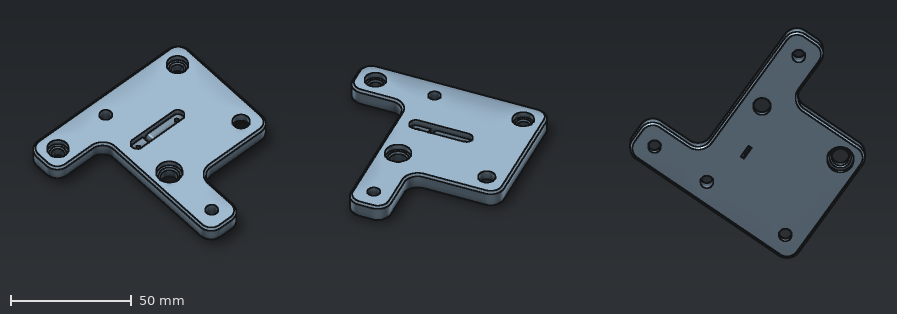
import cadquery as cq
import math

overall_size = 84.17
thickness = 8.0
hole_inset = 9.0
corner_radius = 6.0
edge_chamfer = 1.0

small_hole_diameter = 5.3
large_hole_diameter = 7.24
small_counterbore_diameter = 9.0
large_counterbore_diameter = 11.0
counterbore_depth = 2.8
seat_chamfer = 0.8

slot_length = 28.0
slot_width = 5.5
slot_depth = 3.0
slot_offset_y = 11.05
pin_hole_diameter = 1.8
pin_hole_spacing = 21.3
pin_hole_depth = 3.0
window_length = 3.5
window_offset_y = 8.2
window_lip_radius = 2.0

block_units = 3
arm_units = 2
half_size = overall_size / 2
grid_unit = (overall_size - 2 * hole_inset) / (block_units + arm_units)
left_x = -half_size + hole_inset
block_x = left_x + block_units * grid_unit
arm_x = half_size - hole_inset
top_y = half_size - hole_inset
block_y = top_y - block_units * grid_unit
leg_y = -half_size + hole_inset

slot_x = (left_x + block_x) / 2
slot_y = block_y + slot_offset_y
slot_floor_z = thickness - slot_depth


def make_plate():
    """Square block with an arm towards +X and a leg towards -Y."""
    outline = [
        (-half_size, -half_size),
        (left_x + hole_inset, -half_size),
        (left_x + hole_inset, block_y - hole_inset),
        (half_size, block_y - hole_inset),
        (half_size, block_y + hole_inset),
        (block_x + hole_inset, block_y + hole_inset),
        (block_x + hole_inset, half_size),
        (-half_size, half_size),
    ]
    plate = cq.Workplane("XY").polyline(outline).close().extrude(thickness)
    plate = plate.edges("|Z").fillet(corner_radius)
    return plate.faces("<Z or >Z").edges().chamfer(edge_chamfer)


def cylinder(x, y, diameter, bottom_z, top_z):
    base = cq.Workplane("XY", origin=(x, y, bottom_z))
    return base.circle(diameter / 2).extrude(top_z - bottom_z)


def counterbored_hole(x, y, diameter, counterbore_diameter):
    """Cutter for a through hole with a counterbore and a chamfered seat."""
    radius = diameter / 2
    counterbore_radius = counterbore_diameter / 2
    seat_z = thickness - counterbore_depth
    profile = [
        (0, 0),
        (radius, 0),
        (radius, seat_z - seat_chamfer),
        (radius + seat_chamfer, seat_z),
        (counterbore_radius, seat_z),
        (counterbore_radius, thickness),
        (0, thickness),
    ]
    half_section = cq.Workplane("XZ", origin=(x, y, 0)).polyline(profile).close()
    return half_section.revolve(360, (0, 0, 0), (0, 1, 0))


def make_slot():
    """Cutter for the round-ended slot and its two blind pin holes."""
    slot = cq.Workplane("XY", origin=(slot_x, slot_y, slot_floor_z))
    slot = slot.slot2D(slot_length, slot_width, 90).extrude(slot_depth)
    for side in (-1, 1):
        pin_y = slot_y + side * pin_hole_spacing / 2
        pin_bottom_z = slot_floor_z - pin_hole_depth
        slot = slot.union(cylinder(slot_x, pin_y, pin_hole_diameter, pin_bottom_z, slot_floor_z))
    return slot


def make_window():
    """Cutter for the window through the slot floor, with a rounded +Y lip."""
    low_y = slot_y - slot_length / 2 + window_offset_y
    high_y = low_y + window_length
    wall_y = high_y - window_lip_radius
    lip_centre_z = slot_floor_z - window_lip_radius
    lip_middle = window_lip_radius * math.sin(math.radians(45))
    section = (
        cq.Workplane("YZ", origin=(slot_x, 0, 0))
        .moveTo(low_y, 0)
        .lineTo(wall_y, 0)
        .lineTo(wall_y, lip_centre_z)
        .threePointArc(
            (high_y - lip_middle, lip_centre_z + lip_middle),
            (high_y, slot_floor_z),
        )
        .lineTo(low_y, slot_floor_z)
        .close()
    )
    return section.extrude(slot_width / 2, both=True)


result = make_plate()

for x, y in [(left_x, top_y), (left_x, leg_y)]:
    result = result.cut(counterbored_hole(x, y, small_hole_diameter, small_counterbore_diameter))
result = result.cut(
    counterbored_hole(block_x, block_y, large_hole_diameter, large_counterbore_diameter)
)

for x, y in [(left_x, block_y), (arm_x, block_y)]:
    result = result.cut(cylinder(x, y, small_hole_diameter, 0, thickness))

underside_hole = counterbored_hole(
    block_x, top_y, large_hole_diameter, large_counterbore_diameter
).mirror("XY", (0, 0, thickness / 2))
result = result.cut(underside_hole)

result = result.cut(make_slot()).cut(make_window())